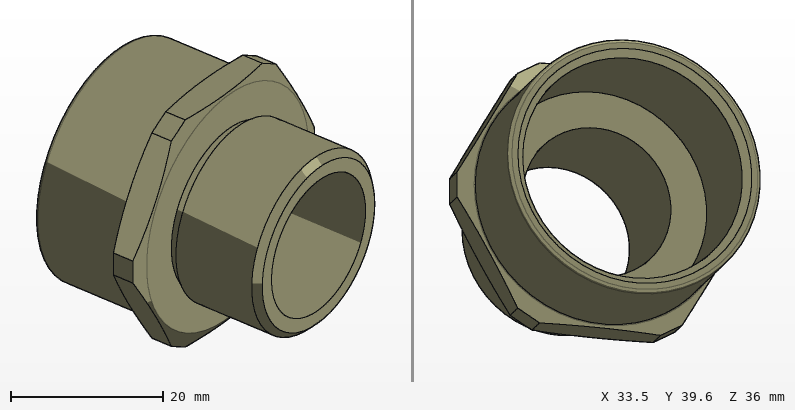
import cadquery as cq
import math

socket_length = 14.0
hex_thickness = 4.5
neck_length = 1.5
overall_length = 33.5
hex_start = socket_length
hex_end = hex_start + hex_thickness
thread_start = hex_end + neck_length

socket_radius = 17.5
mouth_fillet = 0.47
neck_radius = 12.25
thread_radius = 13.25
thread_chamfer = 1.0

hex_sides = 6
across_flats = 36.0
across_facets = 39.57
bevel_width = 0.65
bevel_end_radius = 17.65

bore_radius = 10.25
socket_bore_radius = 15.2
socket_bore_depth = 16.0
bore_chamfer = 1.0


def cylinder(radius, start, end):
    """Solid cylinder on the X axis between two stations."""
    return cq.Workplane("YZ").workplane(offset=start).circle(radius).extrude(end - start)


def hexagon_prism(flats, rotation):
    """Prism of the hexagon's thickness, with one corner turned by rotation from +Y."""
    corner_circle = flats / math.cos(math.pi / hex_sides)
    prism = cq.Workplane("YZ").workplane(offset=hex_start).polygon(hex_sides, corner_circle)
    return prism.extrude(hex_thickness).rotate((0, 0, 0), (1, 0, 0), rotation)


def bevel_envelope():
    """Turned blank whose conical ends bevel the corners of the hexagon."""
    slope = (across_facets / 2 - bevel_end_radius) / bevel_width
    peak_radius = bevel_end_radius + slope * hex_thickness / 2
    profile = [
        (hex_start, 0),
        (hex_start, bevel_end_radius),
        (hex_start + hex_thickness / 2, peak_radius),
        (hex_end, bevel_end_radius),
        (hex_end, 0),
    ]
    return cq.Workplane("XY").polyline(profile).close().revolve(360, (0, 0, 0), (1, 0, 0))


def hexagon():
    """Hexagonal flange with cut corners and beveled ends."""
    blank = hexagon_prism(across_flats, 0)
    corner_cutter = hexagon_prism(across_facets, 180 / hex_sides)
    return blank.intersect(corner_cutter).intersect(bevel_envelope())


def socket():
    """Outside of the wide end, rounded at the mouth."""
    return cylinder(socket_radius, 0, hex_start).faces("<X").edges().fillet(mouth_fillet)


def thread_end():
    """Outside of the narrow end: relief neck and chamfered spigot."""
    neck = cylinder(neck_radius, hex_end, thread_start)
    spigot = cylinder(thread_radius, thread_start, overall_length)
    return neck.union(spigot.faces(">X").edges().chamfer(thread_chamfer))


def cavity():
    """Through bore, wide socket bore and the chamfer at its mouth."""
    mouth_radius = socket_bore_radius + bore_chamfer
    profile = [
        (0, 0),
        (0, mouth_radius),
        (bore_chamfer, socket_bore_radius),
        (socket_bore_depth, socket_bore_radius),
        (socket_bore_depth, bore_radius),
        (overall_length, bore_radius),
        (overall_length, 0),
    ]
    return cq.Workplane("XY").polyline(profile).close().revolve(360, (0, 0, 0), (1, 0, 0))


result = socket().union(hexagon()).union(thread_end()).cut(cavity())